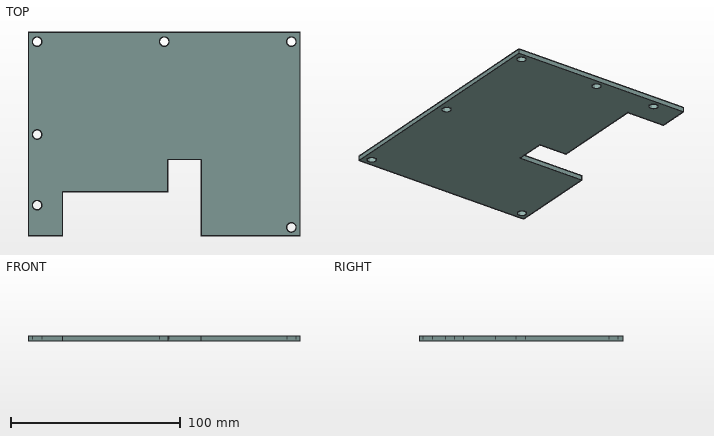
import cadquery as cq

length = 160.0
width = 120.0
thickness = 3.0

cutout_start = 20.2
step_x = 82.0
cutout_end = 101.8
shallow_depth = 26.0
deep_depth = 45.0

hole_diameter = 5.5
side_inset = 5.1
front_inset = 5.0
back_inset = 5.6
left_hole_heights = (18.0, 59.7)

left_x = side_inset
right_x = length - side_inset
back_y = width - back_inset
hole_centres = [
    (left_x, back_y),
    (length / 2, back_y),
    (right_x, back_y),
    (right_x, front_inset),
] + [(left_x, y) for y in left_hole_heights]

outline = [
    (0, 0),
    (cutout_start, 0),
    (cutout_start, shallow_depth),
    (step_x, shallow_depth),
    (step_x, deep_depth),
    (cutout_end, deep_depth),
    (cutout_end, 0),
    (length, 0),
    (length, width),
    (0, width),
]

plate = cq.Workplane("XY").polyline(outline).close().extrude(thickness)
holes = (
    cq.Workplane("XY")
    .pushPoints(hole_centres)
    .circle(hole_diameter / 2)
    .extrude(thickness)
)

result = plate.cut(holes)